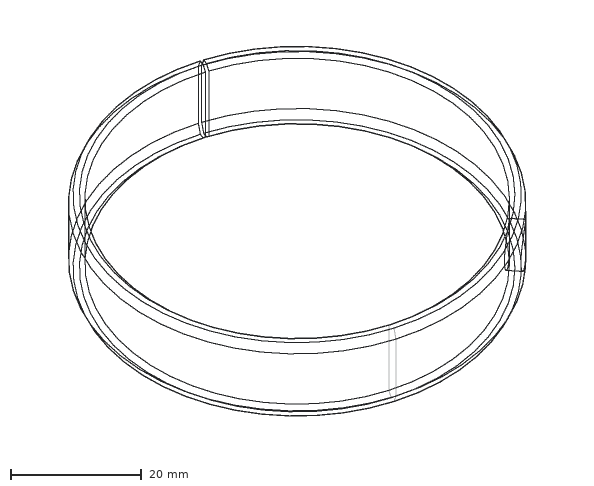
import cadquery as cq

outer_diameter = 70.0
inner_diameter = 64.95
height = 15.0
outer_radius = outer_diameter / 2
inner_radius = inner_diameter / 2

taper_height = 1.7
taper_depth = 0.7
bore_bevel = 0.85

split_width = 0.55

hole_diameter = 8.0
hole_angle = 59.0


def make_ring():
    """Revolve the wall section, standing on Z = 0, about the Z axis."""
    section = [
        (inner_radius + bore_bevel, 0),
        (outer_radius - taper_depth, 0),
        (outer_radius, taper_height),
        (outer_radius, height - taper_height),
        (outer_radius - taper_depth, height),
        (inner_radius + bore_bevel, height),
        (inner_radius, height - bore_bevel),
        (inner_radius, bore_bevel),
    ]
    return cq.Workplane("XZ").polyline(section).close().revolve(360, (0, 0, 0), (0, 1, 0))


def make_split():
    """Box from the axis out past the wall on the -X side."""
    return cq.Workplane("XY").box(
        outer_diameter, split_width, height, centered=False
    ).translate((-outer_diameter, 0, 0))


def make_hole():
    """Cylinder from the axis out past the wall, turned to the hole angle."""
    hole = cq.Workplane("YZ").center(0, height / 2).circle(hole_diameter / 2).extrude(outer_diameter)
    return hole.rotate((0, 0, 0), (0, 0, 1), hole_angle)


result = make_ring().cut(make_split()).cut(make_hole())